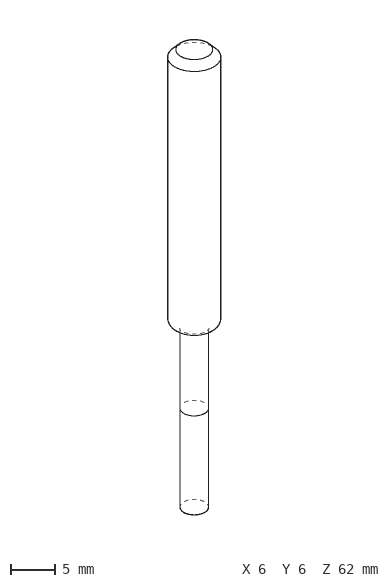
import cadquery as cq
import math

total_length = 62.0
shank_radius = 6.0 / 2
drill_radius = 3.2 / 2

joint_height = 13.9
neck_top = 24.4

chamfer_height = 1.0
chamfer_width = 0.9
shoulder_round = 0.8
neck_fillet = 0.8
point_angle = 140.0
point_height = drill_radius / math.tan(math.radians(point_angle / 2))

fillet_center_r = drill_radius + neck_fillet
round_center_r = shank_radius - shoulder_round
center_distance = shoulder_round + neck_fillet
center_offset_r = fillet_center_r - round_center_r
shoulder_top = neck_top + math.sqrt(center_distance**2 - center_offset_r**2)

tangent_angle = math.degrees(math.atan2(shoulder_top - neck_top, -center_offset_r))


def arc_point(center_r, center_z, radius, angle):
    """Point on an arc about (center_r, center_z), at an angle in degrees."""
    turn = math.radians(angle)
    return (center_r + radius * math.cos(turn), center_z + radius * math.sin(turn))


def fillet_point(angle):
    return arc_point(fillet_center_r, neck_top, neck_fillet, angle)


def round_point(angle):
    return arc_point(round_center_r, shoulder_top, shoulder_round, angle)


def revolve_about_z(profile):
    return profile.close().revolve(360, (0, 0, 0), (0, 1, 0))


def make_shank():
    """Chamfered shank with a rounded shoulder that blends into a thin neck."""
    profile = (
        cq.Workplane("XZ")
        .moveTo(0, joint_height)
        .lineTo(drill_radius, joint_height)
        .lineTo(drill_radius, neck_top)
        .threePointArc(fillet_point((180 + tangent_angle) / 2), fillet_point(tangent_angle))
        .threePointArc(round_point((tangent_angle - 180) / 2), round_point(0))
        .lineTo(shank_radius, total_length - chamfer_height)
        .lineTo(shank_radius - chamfer_width, total_length)
        .lineTo(0, total_length)
    )
    return revolve_about_z(profile)


def make_cutter():
    """Round cutting end with a conical point, butted against the neck."""
    profile = (
        cq.Workplane("XZ")
        .moveTo(0, 0)
        .lineTo(drill_radius, point_height)
        .lineTo(drill_radius, joint_height)
        .lineTo(0, joint_height)
    )
    return revolve_about_z(profile)


shank = make_shank()
cutter = make_cutter()

result = cq.Compound.makeCompound([shank.val(), cutter.val()])